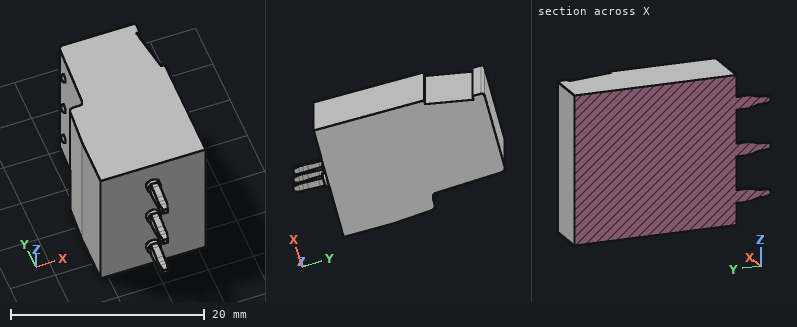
import cadquery as cq

width = 11.62
overall_depth = 21.8
depth = 18.0
height = 16.42
corner_radius = 0.48
hook_corner_radius = 0.3

pitch = 5.08
contact_count = 3
contact_levels = [(i - (contact_count - 1) / 2) * pitch for i in range(contact_count)]

taper_start_y = 5.4
shelf_y = 9.98
shelf_outer_x = 0.3
shelf_inner_x = 1.9
top_left_x = 2.2

hook_x = 10.73
hook_y = 16.76
recess_top_x = 10.33
recess_bottom_x = 11.2
recess_bottom_y = 11.85

bump_y = 16.15
bump_radius = 0.52
bump_center_x = 2.35

pin_x = 5.73
pin_length = overall_depth - depth
collar_diameter = 1.45
collar_length = 0.5
blade_thickness = 0.83
blade_height = 1.48
waist_height = 0.85
shoulder_distance = 0.98
inflection_distance = 2.2
waist_distance = 2.72
tip_start_distance = 3.15
tip_thickness = 0.5
tip_height = 0.6


def make_housing():
    outline = (
        cq.Workplane("XY")
        .workplane(offset=-height / 2)
        .polyline([
            (0, 0),
            (0, taper_start_y),
            (shelf_outer_x, shelf_y),
            (shelf_inner_x, shelf_y),
            (top_left_x, depth),
            (hook_x, depth),
            (hook_x, hook_y),
            (recess_top_x, hook_y),
            (recess_bottom_x, recess_bottom_y),
            (width, recess_bottom_y),
            (width, 0),
        ])
        .close()
    )
    body = outline.extrude(height)
    rounded_corners = [(shelf_outer_x, shelf_y), (shelf_inner_x, shelf_y), (top_left_x, depth)]
    for x, y in rounded_corners:
        body = body.edges(cq.selectors.NearestToPointSelector((x, y, 0))).fillet(corner_radius)
    hook_edge = cq.selectors.NearestToPointSelector((hook_x, depth, 0))
    return body.edges(hook_edge).fillet(hook_corner_radius)


def make_bump(z):
    return cq.Workplane("XY").sphere(bump_radius).translate((bump_center_x, bump_y, z))


def make_half_blade():
    """Upper half of the blade: flat shoulder, S-shaped flank of two tangent arcs, straight waist."""
    shoulder_z = blade_height / 2
    waist_z = waist_height / 2
    convex_share = (inflection_distance - shoulder_distance) / (waist_distance - shoulder_distance)
    inflection_z = shoulder_z - convex_share * (shoulder_z - waist_z)
    return (
        cq.Workplane("YZ")
        .moveTo(-collar_length, 0)
        .lineTo(-collar_length, shoulder_z)
        .lineTo(-shoulder_distance, shoulder_z)
        .tangentArcPoint((-inflection_distance, inflection_z), relative=False)
        .tangentArcPoint((-waist_distance, waist_z), relative=False)
        .lineTo(-tip_start_distance, waist_z)
        .lineTo(-tip_start_distance, 0)
        .close()
        .extrude(blade_thickness / 2, both=True)
    )


def make_pin(z):
    """Round collar, then a flat blade that narrows to a waist and ends in a tapered tip."""
    mounting_face = cq.Workplane("XZ")
    collar = mounting_face.circle(collar_diameter / 2).extrude(collar_length)
    half_blade = make_half_blade()
    blade = half_blade.union(half_blade.mirror("XY"))
    tip = (
        mounting_face.workplane(offset=tip_start_distance)
        .rect(blade_thickness, waist_height)
        .workplane(offset=pin_length - tip_start_distance)
        .rect(tip_thickness, tip_height)
        .loft()
    )
    return collar.union(blade).union(tip).translate((pin_x, 0, z))


result = make_housing()
for level in contact_levels:
    result = result.union(make_bump(level)).union(make_pin(level))